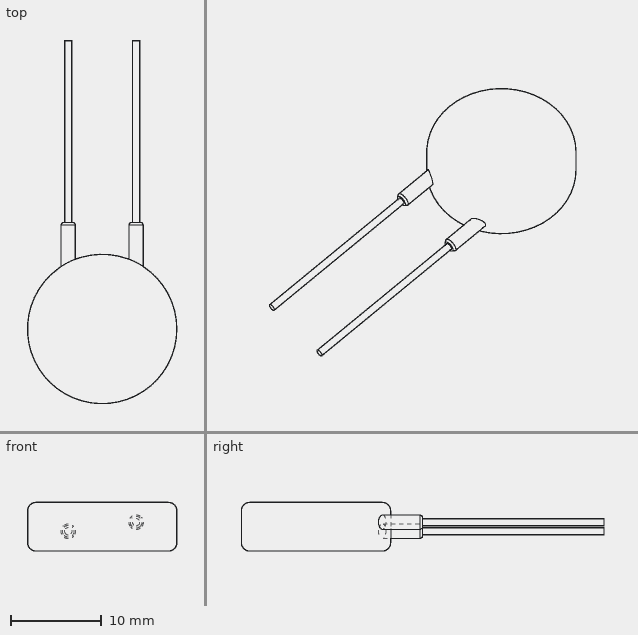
import cadquery as cq

overall_length = 40.0
body_diameter = 16.5
body_height = 5.4
body_edge_radius = 0.95
lead_pitch = 7.5
lead_height_step = 1.0
wire_diameter = 0.8
sleeve_diameter = 1.6
sleeve_reach = 3.5
sleeve_taper_length = 0.3
sleeve_taper_depth = 0.15

body_radius = body_diameter / 2
wire_end_y = overall_length - body_radius
sleeve_end_y = body_radius + sleeve_reach


def make_body():
    """Flat disc with rounded top and bottom edges."""
    disc = cq.Workplane("XY", origin=(0, 0, -body_height / 2)).circle(body_radius).extrude(body_height)
    return disc.faces("|Z").edges().fillet(body_edge_radius)


def make_lead(x, z):
    """Wire and tapered sleeve, revolved about an axis parallel to Y, starting inside the disc."""
    wire_radius = wire_diameter / 2
    sleeve_radius = sleeve_diameter / 2
    half_profile = (
        cq.Workplane("XY")
        .lineTo(sleeve_radius, 0)
        .lineTo(sleeve_radius, sleeve_end_y - sleeve_taper_length)
        .lineTo(sleeve_radius - sleeve_taper_depth, sleeve_end_y)
        .lineTo(wire_radius, sleeve_end_y)
        .lineTo(wire_radius, wire_end_y)
        .lineTo(0, wire_end_y)
        .close()
    )
    lead = half_profile.revolve(360, (0, 0, 0), (0, 1, 0))
    return lead.translate((x, 0, z))


result = make_body()
for side in (-1, 1):
    result = result.union(make_lead(side * lead_pitch / 2, side * lead_height_step / 2))